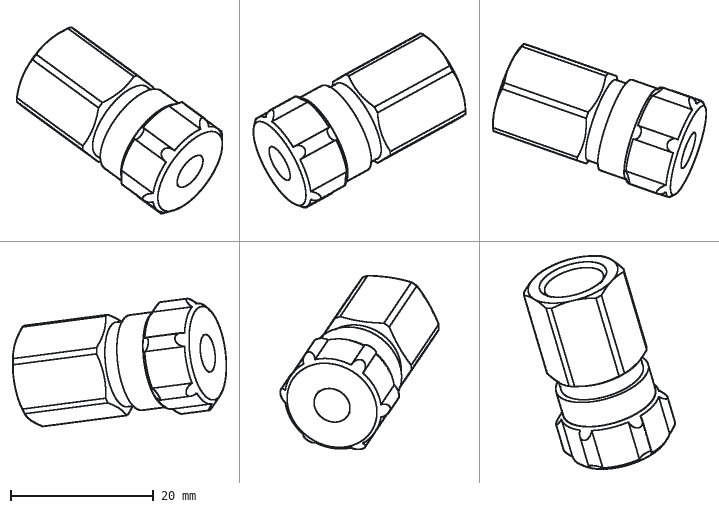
import cadquery as cq
import math

length = 27.0
hex_end = 13.88
collar_start = 16.05
nut_start = 20.0

hex_sides = 6
hex_flats = 13.0
hex_corner_diameter = 14.5
hex_face_diameter = 13.01
hex_chamfer_angle = 30.0

neck_diameter = 12.0
collar_diameter = 13.5

nut_diameter = 14.23
rib_count = 6
rib_radius = 1.0
rib_tip_diameter = 16.23
rib_tip_radius = rib_tip_diameter / 2
nut_start_face_radius = 6.7
nut_end_face_radius = 6.62

bore_diameter = 5.3
socket_diameter = 8.55
socket_mouth_diameter = 9.75
socket_depth = 10.8
left_x = -length / 2


def cylinder(start, end, diameter):
    """Solid cylinder on the X axis between two stations from the hexagon end."""
    plane = cq.Workplane("YZ", origin=(left_x + start, 0, 0))
    return plane.circle(diameter / 2).extrude(end - start)


def revolve_profile(points):
    """Turn (station, radius) points about the X axis."""
    shifted = [(left_x + station, radius) for station, radius in points]
    return cq.Workplane("XY").polyline(shifted).close().revolve(360, (0, 0, 0), (1, 0, 0))


def make_hexagon():
    slope = math.tan(math.radians(hex_chamfer_angle))
    corner_radius = hex_corner_diameter / 2
    face_radius = hex_face_diameter / 2
    neck_radius = neck_diameter / 2
    envelope = revolve_profile([
        (0, 0),
        (0, face_radius),
        ((corner_radius - face_radius) * slope, corner_radius),
        (hex_end - (corner_radius - neck_radius) * slope, corner_radius),
        (hex_end, neck_radius),
        (hex_end, 0),
    ])
    across_points = hex_flats / math.cos(math.pi / hex_sides)
    prism = cq.Workplane("YZ", origin=(left_x, 0, 0)).polygon(hex_sides, across_points).extrude(hex_end)
    return prism.intersect(envelope)


def make_nut():
    nut = cylinder(nut_start, length, nut_diameter)
    rib_circle_radius = rib_tip_radius - rib_radius
    ribs = (
        cq.Workplane("YZ", origin=(left_x + nut_start, 0, 0))
        .polarArray(rib_circle_radius, 0, 360, rib_count)
        .circle(rib_radius)
        .extrude(length - nut_start)
    )
    envelope = revolve_profile([
        (nut_start, 0),
        (nut_start, nut_start_face_radius),
        (nut_start + rib_tip_radius - nut_start_face_radius, rib_tip_radius),
        (length - (rib_tip_radius - nut_end_face_radius), rib_tip_radius),
        (length, nut_end_face_radius),
        (length, 0),
    ])
    return nut.union(ribs).intersect(envelope)


def make_bore():
    mouth_radius = socket_mouth_diameter / 2
    socket_radius = socket_diameter / 2
    bore_radius = bore_diameter / 2
    return revolve_profile([
        (0, 0),
        (0, mouth_radius),
        (mouth_radius - socket_radius, socket_radius),
        (socket_depth, socket_radius),
        (socket_depth, bore_radius),
        (length, bore_radius),
        (length, 0),
    ])


neck = cylinder(hex_end, collar_start, neck_diameter)
collar = cylinder(collar_start, nut_start, collar_diameter)
body = make_hexagon().union(neck).union(collar).union(make_nut())
result = body.cut(make_bore())